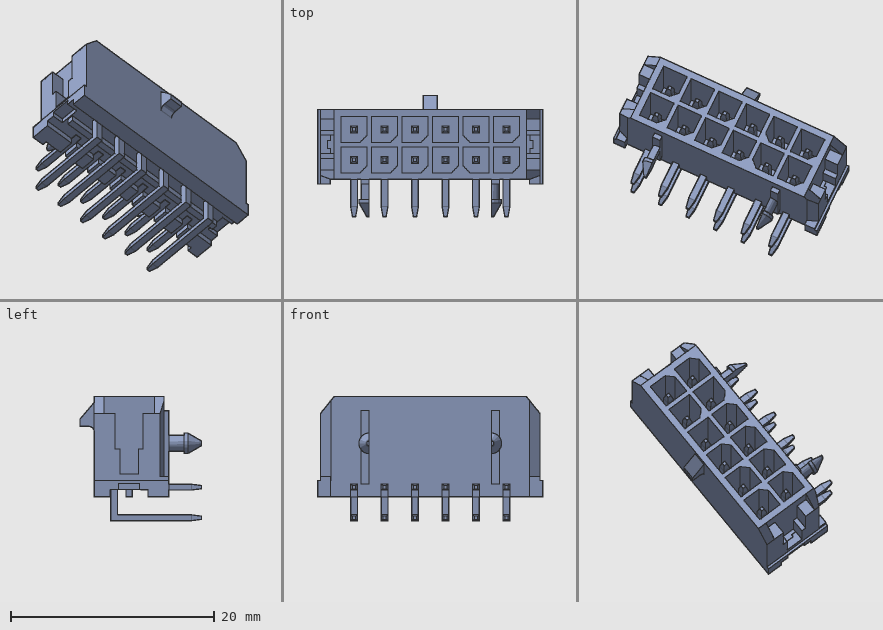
import cadquery as cq
import math


base_length = 22.15
housing_length = 21.65
core_length = 18.9
housing_depth = 6.89
housing_height = 9.9
base_height = 1.62
end_wall_height = 8.2

slope_land = 0.95
groove_center_y = housing_depth / 2
upper_groove_width = 2.77
upper_groove_floor = 4.75
lower_groove_width = 1.82
lower_groove_floor = 2.25
seat_depth = 0.07
seat_length = 0.38
seat_stem_length = 0.27
seat_stem_width = 0.8

bevel_length = 1.06
bevel_depth = 0.4
foot_depth = 0.47
foot_height = 2.02
foot_inner_left = 9.83
foot_inner_right = 9.75

channel_front = 1.6
channel_back = 5.3
channel_roof = 0.73
window_front = 2.44
window_back = 4.5
window_top = 1.33
window_depth = 1.22
rib_front = 3.12
rib_back = 3.77

columns = 6
pin_span = 15.0
pitch = pin_span / (columns - 1)
front_row_y = 1.93
back_row_y = front_row_y + pitch
pin_width = 0.69
tail_height = 0.6
tail_tip_y = -3.68
upper_tail_z = 0.66
lower_tail_z = -2.35
pin_top = 7.97
tip_length = 1.0
tip_width = 0.33
cell_size = 2.55
cell_chamfer = 0.69
cell_floor = 2.22
front_keys = ["right", "right", "right", "right", "left", "right"]
back_keys = ["right", "right", "right", None, "left", "right"]

peg_x = 6.0
peg_z = 5.27
peg_radius = 0.8
collar_radius = 1.02
collar_back_y = -1.97
collar_front_y = -2.33
nose_radius = 0.33
nose_end_radius = 0.25
nose_length = 0.15
strip_width = 0.82
strip_bottom = 1.26
strip_top = 8.48

latch_width = 1.42
latch_reach = 1.4
latch_top = 9.3
latch_tip_top = 7.66
latch_tip_bottom = 6.93
latch_fillet = 0.53


def box(x0, x1, y0, y1, z0, z1):
    """Box between two opposite corners."""
    return cq.Workplane("XY").box(x1 - x0, y1 - y0, z1 - z0, centered=False).translate((x0, y0, z0))


def both_ends(left_shape):
    """A shape at the -X end together with its mirror image."""
    return left_shape.union(left_shape.mirror("YZ"))


def column_positions():
    return [i * pitch - pin_span / 2 for i in range(columns)]


def make_housing():
    """Block with sloped top corners, wider base and two front feet."""
    half = housing_length / 2
    half_core = core_length / 2
    block = (
        cq.Workplane("XZ")
        .moveTo(-half, 0)
        .lineTo(half, 0)
        .lineTo(half, end_wall_height)
        .lineTo(half_core, housing_height)
        .lineTo(-half_core, housing_height)
        .lineTo(-half, end_wall_height)
        .close()
        .extrude(-housing_depth)
    )
    bevel = (
        cq.Workplane("XY")
        .moveTo(-half, 0)
        .lineTo(-half + bevel_length, 0)
        .lineTo(-half, bevel_depth)
        .close()
        .extrude(housing_height)
    )
    base_half = base_length / 2
    base = box(-base_half, base_half, 0, housing_depth, 0, base_height)
    housing = block.cut(both_ends(bevel)).union(base)
    for side, inner in ((-1, foot_inner_left), (1, foot_inner_right)):
        low_x = sorted((side * inner, side * base_half))
        housing = housing.union(box(*low_x, -foot_depth, bevel_depth, 0, base_height))
        high_x = sorted((side * inner, side * half))
        housing = housing.union(box(*high_x, -foot_depth, bevel_depth, 0, foot_height))
    return housing


def make_end_grooves():
    """Stepped vertical groove in each end wall, with a shallow T-shaped seat in its floor."""
    outer = -base_length / 2
    inner = -core_length / 2
    groove = box(outer, inner, slope_land, housing_depth - slope_land, end_wall_height, housing_height)
    steps = (
        (upper_groove_width, upper_groove_floor, outer),
        (lower_groove_width, lower_groove_floor, outer),
        (lower_groove_width, lower_groove_floor - seat_depth, inner - seat_length),
        (seat_stem_width, lower_groove_floor - seat_depth, inner - seat_length - seat_stem_length),
    )
    for width, floor, start in steps:
        front = groove_center_y - width / 2
        groove = groove.union(box(start, inner, front, front + width, floor, housing_height))
    return both_ends(groove)


def make_underside_cuts():
    """Full-length channel, a window in each end wall and a slot below each upper tail."""
    half = base_length / 2
    cuts = box(-half, half, channel_front, channel_back, 0, channel_roof)
    window = box(-half, -half + window_depth, window_front, window_back, 0, window_top)
    cuts = cuts.union(both_ends(window))
    for x in column_positions():
        cuts = cuts.union(box(x - pin_width / 2, x + pin_width / 2, 0, channel_front, 0, upper_tail_z))
    return cuts


def make_center_rib():
    """Rib along the middle of the underside channel."""
    return box(-foot_inner_right, foot_inner_right, rib_front, rib_back, 0, channel_roof)


def make_cell(x, y, key):
    """Square contact cell with one front corner chamfered for keying."""
    cell = box(
        x - cell_size / 2, x + cell_size / 2,
        y - cell_size / 2, y + cell_size / 2,
        cell_floor, housing_height,
    )
    if key:
        corner_side = ">X" if key == "right" else "<X"
        cell = cell.faces("<Y").edges("|Z").edges(corner_side).chamfer(cell_chamfer)
    return cell


def make_pin(x, row_y, tail_z):
    """L-shaped pin: a post rising into its cell and a tail out of the front, both with tapered tips."""
    half = pin_width / 2
    post = box(x - half, x + half, row_y - half, row_y + half, tail_z, pin_top - tip_length)
    post_tip = (
        cq.Workplane("XY", origin=(x, row_y, pin_top - tip_length))
        .rect(pin_width, pin_width)
        .workplane(offset=tip_length)
        .rect(tip_width, tip_width)
        .loft()
    )
    tail = box(x - half, x + half, tail_tip_y + tip_length, row_y, tail_z, tail_z + tail_height)
    tail_tip = (
        cq.Workplane("XZ", origin=(x, tail_tip_y + tip_length, tail_z + tail_height / 2))
        .rect(pin_width, tail_height)
        .workplane(offset=tip_length)
        .rect(tip_width, tip_width)
        .loft()
    )
    return post.union(post_tip).union(tail).union(tail_tip)


def make_left_peg():
    """Half-round barbed peg, flat towards the middle, on a vertical strip."""
    nose_start_y = tail_tip_y + nose_length
    peg = (
        cq.Workplane("XY")
        .moveTo(0, 0)
        .lineTo(-peg_radius, 0)
        .lineTo(-peg_radius, collar_back_y)
        .lineTo(-collar_radius, collar_back_y)
        .lineTo(-collar_radius, collar_front_y)
        .lineTo(-nose_radius, nose_start_y)
        .lineTo(-nose_end_radius, tail_tip_y)
        .lineTo(0, tail_tip_y)
        .close()
        .revolve(180, (0, 0), (0, 1))
        .rotate((0, 0, 0), (0, 1, 0), -90)
        .translate((-peg_x, 0, peg_z))
    )
    strip = box(-peg_x - strip_width, -peg_x, -foot_depth, 0, strip_bottom, strip_top)
    return strip.union(peg)


def make_latch():
    """Sloped latch nose with a concave fillet below it."""
    fillet_start_y = housing_depth + latch_fillet
    fillet_end_z = latch_tip_bottom - latch_fillet
    fillet_mid = latch_fillet * math.sqrt(0.5)
    return (
        cq.Workplane("YZ", origin=(-latch_width / 2, 0, 0))
        .moveTo(housing_depth, latch_top)
        .lineTo(housing_depth + latch_reach, latch_tip_top)
        .lineTo(housing_depth + latch_reach, latch_tip_bottom)
        .lineTo(fillet_start_y, latch_tip_bottom)
        .threePointArc(
            (fillet_start_y - fillet_mid, fillet_end_z + fillet_mid),
            (housing_depth, fillet_end_z),
        )
        .close()
        .extrude(latch_width)
    )


result = make_housing().cut(make_end_grooves()).cut(make_underside_cuts())
result = result.union(make_center_rib()).union(make_latch()).union(both_ends(make_left_peg()))

rows = ((front_row_y, upper_tail_z, front_keys), (back_row_y, lower_tail_z, back_keys))
for row_y, tail_z, keys in rows:
    for x, key in zip(column_positions(), keys):
        result = result.cut(make_cell(x, row_y, key)).union(make_pin(x, row_y, tail_z))